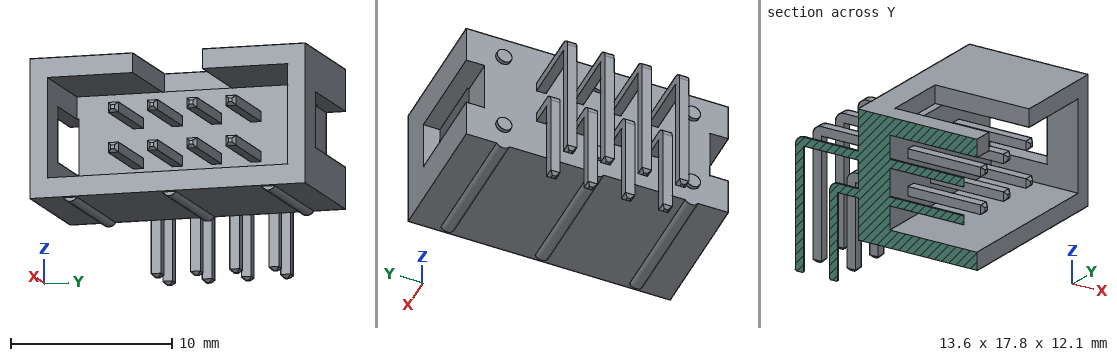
import cadquery as cq
import math


overall_depth = 13.55
overall_height = 12.1

housing_depth = 8.85
housing_width = 17.82
housing_height = 8.85
rear_wall = 2.37
end_wall = 1.13
top_wall = 1.25

key_width = 4.52
key_rear = 1.86

slot_length = 6.53
slot_height = 3.53
slot_depth = 1.25

nub_diameter = 1.0
nub_projection = 0.25
nub_y_spacing = 6.41
nub_z_offset = 2.85
rib_length = 8.5

pitch = 2.54
columns = 4
rows = 2
pin_size = 0.64
pin_front = 8.0
pin_tip = 0.2

rear_reach = overall_depth - housing_depth
housing_bottom = -housing_height / 2
pin_bottom = housing_height / 2 - overall_height
nub_ys = [-nub_y_spacing, 0, nub_y_spacing]


def box_between(x_range, y_range, z_range):
    """Axis-aligned box given by its lower and upper limits on each axis."""
    sizes = [limits[1] - limits[0] for limits in (x_range, y_range, z_range)]
    corner = (x_range[0], y_range[0], z_range[0])
    return cq.Workplane("XY").box(*sizes, centered=False).translate(corner)


def make_housing():
    """Open-fronted shell with a key notch and a latch slot in each end."""
    half_width = housing_width / 2
    half_height = housing_height / 2
    cavity_half_width = half_width - end_wall
    cavity_top = half_height - top_wall

    shell = box_between(
        (0, housing_depth), (-half_width, half_width), (-half_height, half_height)
    )
    cavity = box_between(
        (rear_wall, housing_depth),
        (-cavity_half_width, cavity_half_width),
        (-cavity_top, cavity_top),
    )
    key_notch = box_between(
        (key_rear, housing_depth),
        (-key_width / 2, key_width / 2),
        (cavity_top, half_height),
    )
    shell = shell.cut(cavity).cut(key_notch)

    slot_z = (-slot_height / 2, slot_height / 2)
    slot_inner = half_width - slot_depth
    for slot_y in ((-half_width, -slot_inner), (slot_inner, half_width)):
        shell = shell.cut(box_between((0, slot_length), slot_y, slot_z))
    return shell


def make_nubs():
    """Round stand-offs on the rear face, sunk into it as far as they project."""
    centres = [(y, z) for y in nub_ys for z in (-nub_z_offset, nub_z_offset)]
    return (
        cq.Workplane("YZ", origin=(-nub_projection, 0, 0))
        .pushPoints(centres)
        .circle(nub_diameter / 2)
        .extrude(2 * nub_projection)
    )


def make_ribs():
    """Round-backed ribs under the housing, partly sunk into its bottom wall."""
    axis_z = housing_bottom - nub_projection + nub_diameter / 2
    return (
        cq.Workplane("YZ")
        .pushPoints([(y, axis_z) for y in nub_ys])
        .circle(nub_diameter / 2)
        .extrude(rib_length)
    )


def make_pin(y, z, tail_x):
    """Square pin bent down at the rear: sharp inside corner, round outside."""
    half = pin_size / 2
    outer_x = tail_x - half
    inner_x = tail_x + half
    top_z = z + half
    under_z = z - half
    bend_diagonal = pin_size * math.sqrt(0.5)
    bend_middle = (inner_x - bend_diagonal, under_z + bend_diagonal)

    pin = (
        cq.Workplane("XZ", origin=(0, y, 0))
        .moveTo(outer_x, pin_bottom)
        .lineTo(outer_x, under_z)
        .threePointArc(bend_middle, (inner_x, top_z))
        .lineTo(pin_front, top_z)
        .lineTo(pin_front, under_z)
        .lineTo(inner_x, under_z)
        .lineTo(inner_x, pin_bottom)
        .close()
        .extrude(half, both=True)
    )
    return pin.faces(">X").chamfer(pin_tip).faces("<Z").chamfer(pin_tip)


result = make_housing().union(make_nubs()).union(make_ribs())

for column in range(columns):
    pin_y = (column - (columns - 1) / 2) * pitch
    for row in range(rows):
        pin_z = (row - (rows - 1) / 2) * pitch
        rows_from_top = rows - 1 - row
        tail_centre = -rear_reach + pin_size / 2 + rows_from_top * pitch
        result = result.union(make_pin(pin_y, pin_z, tail_centre))